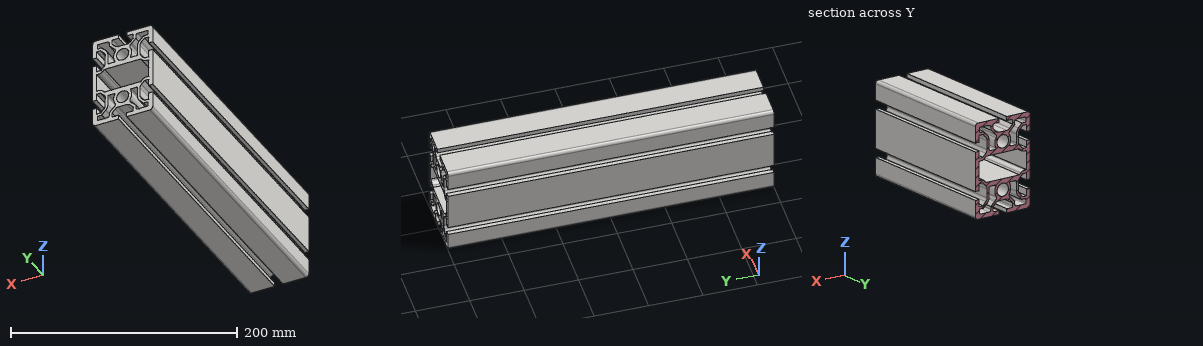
import cadquery as cq
import math

width = 60.0
height = 90.0
length = 300.0
corner_radius = 3.0

core_z = height / 4

slot_opening = 8.0
lip = 4.2
slot_width = 21.0
slot_chamfer = 4.5
slot_floor_radius = 4.5
web = 2.7

side_slot_depth = 12.5
end_slot_depth = 13.0
end_slot_lip_radius = 1.0

bore_radius = 6.0
core_radius = 9.0

chamber_half_height = 12.0
chamber_web = 3.3
chamber_step_radius = 6.5

pocket_wall = 4.8
pocket_floor_z = 16.8
pocket_radius = 1.0
pocket_web_radius = 2.0
core_blend_radius = 2.5

half_width = width / 2
half_height = height / 2


def box(x_min, x_max, z_min, z_max):
    """Full-length block between the given X and Z limits."""
    return (
        cq.Workplane("XY")
        .box(x_max - x_min, length, z_max - z_min)
        .translate(((x_min + x_max) / 2, 0, (z_min + z_max) / 2))
    )


def cylinder(radius, z):
    """Full-length round bar on the X = 0 plane at height z."""
    return cq.Workplane("XZ").center(0, z).circle(radius).extrude(length / 2, both=True)


def slot_cavity(depth, offset):
    """Slot undercut opening towards +Z at Z = 0, with its walls moved out by offset."""
    half = slot_width / 2 + offset
    leg = slot_chamfer + offset * (2 - math.sqrt(2))
    cavity = box(-half, half, -depth - offset, -lip).edges("|Y and <Z").chamfer(leg)
    return cavity.faces("<Z").edges("|Y").fillet(slot_floor_radius + offset)


def end_slot_cavity(offset=0):
    """Undercut of the top slot."""
    return slot_cavity(end_slot_depth, offset).translate((0, 0, half_height))


def side_slot_cavity(offset=0):
    """Undercut of the upper slot on the +X side."""
    cavity = slot_cavity(side_slot_depth, offset)
    return cavity.rotate((0, 0, 0), (0, 1, 0), 90).translate((half_width, 0, core_z))


def corner_pocket():
    """Hollow between the upper +X side slot, the top slot and the core."""
    pocket = box(0, half_width - pocket_wall, pocket_floor_z, half_height - pocket_wall)
    pocket = pocket.cut(side_slot_cavity(web))
    pocket = pocket.cut(end_slot_cavity(web))
    pocket = pocket.cut(cylinder(core_radius, core_z))
    pocket = cq.Workplane(pocket.solids(">X").val())
    pocket = pocket.faces(">X").edges("|Y").fillet(pocket_radius)
    pocket = pocket.faces(">Z").edges("|Y and <X").fillet(pocket_web_radius)
    pocket = pocket.edges("|Y and <X").fillet(core_blend_radius)
    return pocket.faces("<Z").edges("|Y").fillet(pocket_radius)


def chamber():
    """Central hollow, stepped in at its corners to keep a web along the side slots."""
    side = half_width - lip
    step_z = core_z - slot_width / 2 - chamber_web
    slope_x = half_width - side_slot_depth + slot_chamfer
    slope_sum = slope_x + core_z - slot_width / 2 - web * math.sqrt(2)
    step_x = slope_sum - step_z
    top_x = slope_sum - chamber_half_height
    quarter = (
        cq.Workplane("XZ")
        .polyline([(0, 0), (side, 0), (side, step_z), (step_x, step_z)])
        .lineTo(top_x, chamber_half_height)
        .lineTo(0, chamber_half_height)
        .close()
        .extrude(length / 2, both=True)
    )
    step_edge = cq.selectors.NearestToPointSelector((step_x, 0, step_z))
    quarter = quarter.edges("|Y").edges(step_edge).fillet(chamber_step_radius)
    half = quarter.union(quarter.mirror("YZ"))
    return half.union(half.mirror("XY")).clean()


def upper_half_hollows():
    """All hollows of the upper cell."""
    half = slot_opening / 2
    side_slot = side_slot_cavity()
    side_slot = side_slot.union(box(half_width - lip, half_width, core_z - half, core_z + half))
    end_slot = end_slot_cavity().faces(">Z").edges("|Y").fillet(end_slot_lip_radius)
    end_slot = end_slot.union(box(-half, half, half_height - lip, half_height))
    hollows = [cylinder(bore_radius, core_z), end_slot]
    for hollow in (side_slot, corner_pocket()):
        hollows += [hollow, hollow.mirror("YZ")]
    return hollows


result = cq.Workplane("XY").box(width, length, height).edges("|Y").fillet(corner_radius)
result = result.cut(chamber())
for hollow in upper_half_hollows():
    result = result.cut(hollow)
    result = result.cut(hollow.mirror("XY"))